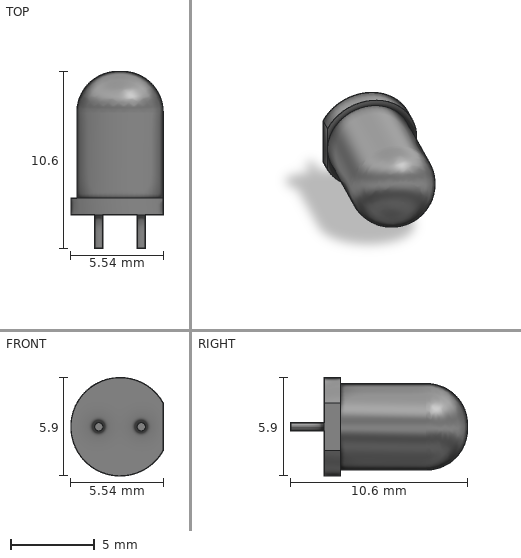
import cadquery as cq

total_length = 10.6
body_diameter = 5.18
flange_diameter = 5.9
flange_thickness = 1.0
lead_diameter = 0.5
lead_length = 2.0
lead_spacing = 2.54
dome_height = 2.47

body_radius = body_diameter / 2
flange_radius = flange_diameter / 2
body_length = total_length - lead_length


def make_body():
    """Cylinder whose far end is rounded into a dome with a small flat tip."""
    body = cq.Workplane("XZ").circle(body_radius).extrude(-body_length)
    return body.faces(">Y").edges().fillet(dome_height)


def make_flange():
    """Base disc trimmed flat on +X, flush with the side of the body."""
    disc = cq.Workplane("XZ").circle(flange_radius).extrude(-flange_thickness)
    keep_width = flange_radius + body_radius
    keep = cq.Workplane("XZ").center(body_radius - keep_width / 2, 0)
    keep = keep.rect(keep_width, flange_diameter).extrude(-flange_thickness)
    return disc.intersect(keep)


def make_leads():
    """Two round pins projecting towards -Y from the flange."""
    centers = [(-lead_spacing / 2, 0), (lead_spacing / 2, 0)]
    return cq.Workplane("XZ").pushPoints(centers).circle(lead_diameter / 2).extrude(lead_length)


result = make_flange().union(make_body()).union(make_leads())